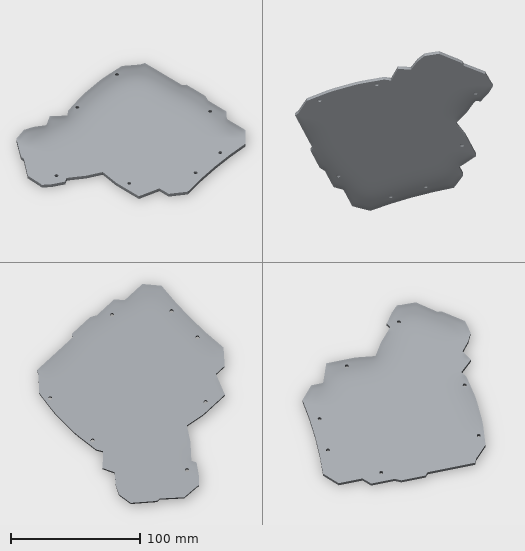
import cadquery as cq

THICKNESS = 3.0
HOLE_DIAMETER = 3.0

TOP = 156.6
SHOULDER = TOP - 2.5
RIGHT_SHOULDER = TOP - 8.6

RIGHT = 140.8
BOW_TOP = 136.7
BOW_BOTTOM = 67.3
BOW_DEPTH = 1.9
BOW_MIDDLE = (RIGHT - BOW_DEPTH, (BOW_TOP + BOW_BOTTOM) / 2)
BEVEL_X = 131.1

RIGHT_LEDGE = 55.9
LOWER_EDGE = 39.0

LEFT_MIDDLE = 107.9
LEFT_FACETS = [(9.7, 9.4), (10.0, 13.8), (12.4, 32.1)]

top_edge = [
    (24.0, SHOULDER), (61.9, SHOULDER), (63.9, TOP), (83.3, TOP), (88.0, SHOULDER),
    (106.7, SHOULDER), (112.1, RIGHT_SHOULDER), (BEVEL_X, RIGHT_SHOULDER),
]

lower_right_edge = [
    (BEVEL_X, RIGHT_LEDGE), (121.7, RIGHT_LEDGE), (115.1, LOWER_EDGE), (92.1, LOWER_EDGE), (76.6, 41.3),
]

lobe = [
    (69.4, 29.9), (61.0, 20.4), (59.4, 18.0), (61.2, 14.5), (55.1, 5.6),
    (49.6, 0), (47.8, 0.3), (34.8, 0.8), (20.4, 13.2), (18.0, 13.2), (16.5, 14.1),
    (1.7, 26.2), (0.3, 35.0), (0, 37.6), (3.5, 44.6), (9.9, 52.6), (5.5, 61.7), (15.3, 71.1),
]

left_below = [(x, LEFT_MIDDLE - height) for x, height in reversed(LEFT_FACETS)]
left_above = [(x, LEFT_MIDDLE + height) for x, height in LEFT_FACETS]
top_left_corner = (22.2, 150.5)

hole_centers = [
    (96.8, 146.1), (15.5, 130.6), (132.2, 116.5), (131.9, 87.2), (15.5, 83.2), (100.2, 45.1), (51.7, 15.2),
]


def make_plate():
    """Trace the outline clockwise and extrude it."""
    outline = (
        cq.Workplane("XY")
        .polyline(top_edge + [(RIGHT, BOW_TOP)])
        .threePointArc(BOW_MIDDLE, (RIGHT, BOW_BOTTOM))
    )
    for point in lower_right_edge + lobe + left_below + left_above + [top_left_corner]:
        outline = outline.lineTo(*point)
    return outline.close().extrude(THICKNESS)


def make_holes():
    """Cylinders through the full thickness at every hole centre."""
    return cq.Workplane("XY").pushPoints(hole_centers).circle(HOLE_DIAMETER / 2).extrude(THICKNESS)


result = make_plate().cut(make_holes())